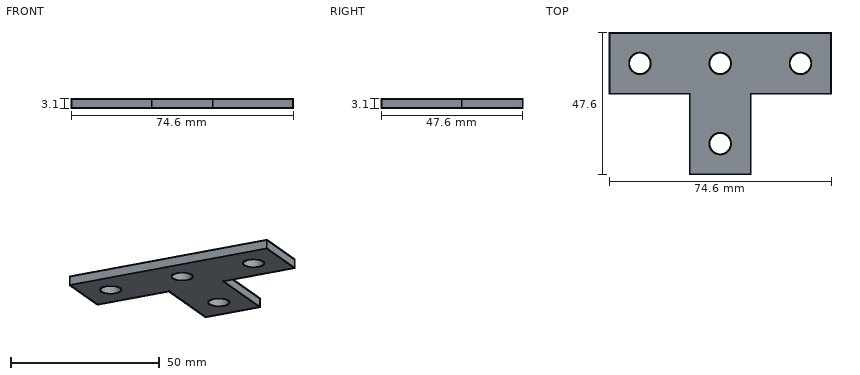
import cadquery as cq

length = 74.6
arm_width = 20.6
thickness = 3.1
hole_diameter = 7.15

hole_pitch = (length - arm_width) / 2

crossbar = cq.Workplane("XY").box(length, arm_width, thickness, centered=(True, True, False))
stem = (
    cq.Workplane("XY")
    .center(0, -hole_pitch / 2)
    .box(arm_width, hole_pitch + arm_width, thickness, centered=(True, True, False))
)
plate = crossbar.union(stem)

hole_centers = [(-hole_pitch, 0), (0, 0), (hole_pitch, 0), (0, -hole_pitch)]
holes = cq.Workplane("XY").pushPoints(hole_centers).circle(hole_diameter / 2).extrude(thickness)

result = plate.cut(holes)